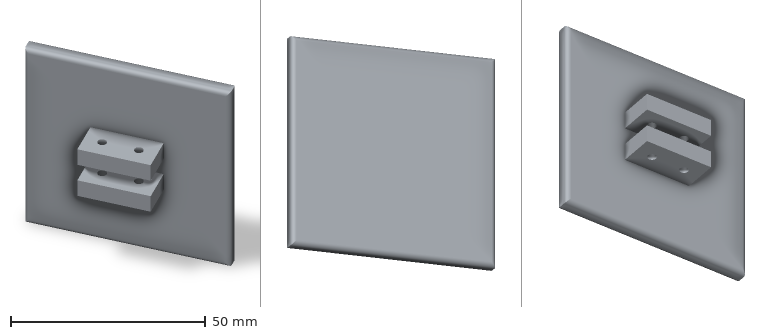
import cadquery as cq

plate_side = 56.3
plate_thickness = 4.45
edge_radius = 1.25

lug_width = 20.05
lug_length = 9.95
lug_thickness = 5.0
lug_gap = 5.0
hole_diameter = 2.5
hole_spacing = lug_width / 2

lug_offset = (lug_gap + lug_thickness) / 2


def make_plate():
    """Plate with its -Y face on Y = 0 and both face outlines rounded."""
    plate = cq.Workplane("XY").box(
        plate_side, plate_thickness, plate_side, centered=(True, False, True)
    )
    return plate.faces("<Y or >Y").edges().fillet(edge_radius)


def make_lug(center_z):
    """Lug projecting toward -Y, with two holes through it along Z."""
    lug = cq.Workplane("XY").box(lug_width, lug_length, lug_thickness)
    holes = (
        cq.Workplane("XY")
        .rarray(hole_spacing, 0.55, 2, 1)
        .circle(hole_diameter / 2)
        .extrude(lug_thickness, both=True)
    )
    return lug.cut(holes).translate((0, -lug_length / 2, center_z))


result = make_plate()
for center_z in (-lug_offset, lug_offset):
    result = result.union(make_lug(center_z))